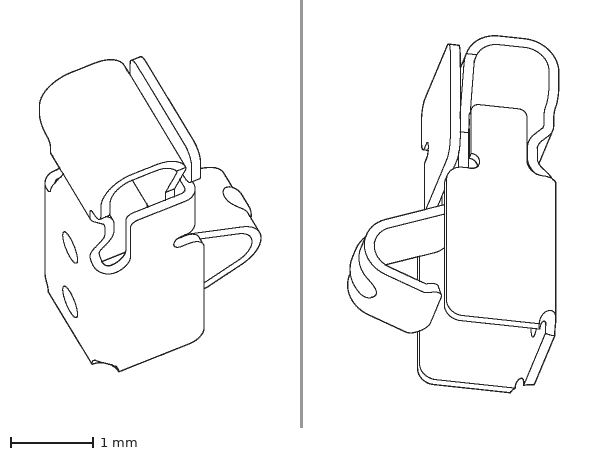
import cadquery as cq
import math

sheet = 0.125
width = 1.7
half_width = width / 2
bend_radius = 0.2
relief_radius = 0.105
channel_depth = 1.4
channel_height = 2.09
channel_corner = 0.2
hole_diameter = 0.41
hole_heights = (0.55, 1.675)
corner_relief_radius = 0.245

tab_front = 0.4
tab_back = 1.09
tab_top = 3.0
tab_corner = 0.1
tab_root_radius = 0.2

plate_back = 1.35
plate_bottom = channel_height + 2 * relief_radius
plate_top = 3.895
plate_corner = 0.2

jog_angle = 45
jog_start = 2.16
jog_outer_radius = 0.2
jog_inner_radius = 0.15
jog_slant = 0.145
jog_flat = 0.14
neck_half = half_width - bend_radius - relief_radius
head_bottom = 3.19
head_corner = 0.195
total_height = 4.0
loop_radius = 0.425
loop_depth = 1.17
taper_top = 3.7
taper_bottom = 2.8
spring_half = 0.495
arm_angle = 22
arm_bend_height = 1.97
arm_bend_radius = 0.225
upper_arm = 0.83
nose_radius = 0.42
lower_arm = 0.49
tail_bend_radius = 0.135
tail_rise = 18
tail = 0.19
tail_corner = 0.185

bead_half_width = 0.18
bead_angle = 41
bead_height = 0.05
bead_round = 0.08

margin = 0.04


def step(point, heading, distance):
    """Point reached from `point` by moving along `heading` (degrees)."""
    angle = math.radians(heading)
    return point[0] + distance * math.cos(angle), point[1] + distance * math.sin(angle)


def strip_section(start, heading, path):
    """Section in YZ of a bent strip whose left-hand face follows `path`.

    Each path item is (length, 0) for a straight or (radius, turn) for a bend,
    with a positive turn to the left. Returns the section and the centre of each bend.
    """
    left = start
    faces = [(left, step(left, heading - 90, sheet), None, None)]
    centres = []
    for size, turn in path:
        left_mid = right_mid = None
        if turn:
            side = math.copysign(90, turn)
            centre = step(left, heading + side, size)
            centres.append(centre)
            right_radius = size + math.copysign(sheet, turn)
            middle = heading + turn / 2 - side
            left_mid = step(centre, middle, size)
            right_mid = step(centre, middle, right_radius)
            heading += turn
            left = step(centre, heading - side, size)
        else:
            left = step(left, heading, size)
        faces.append((left, step(left, heading - 90, sheet), left_mid, right_mid))

    section = cq.Workplane("YZ").moveTo(*start)
    for left, _, left_mid, _ in faces[1:]:
        section = section.threePointArc(left_mid, left) if left_mid else section.lineTo(*left)
    section = section.lineTo(*faces[-1][1])
    for previous, current in zip(reversed(faces[:-1]), reversed(faces[1:])):
        right_mid = current[3]
        right = previous[1]
        section = section.threePointArc(right_mid, right) if right_mid else section.lineTo(*right)
    return section.close(), centres


def front_prism(outline, front, back):
    """Extrude a closed XZ outline from Y = front to Y = back."""
    return outline.extrude(front - back).translate((0, front, 0))


def mirrored(half):
    """Complete a body that covers X >= 0 by its mirror image."""
    return half.union(half.mirror("YZ"))


def make_channel():
    """U-shaped channel with a tab on each side wall, front holes and corner reliefs."""
    folded = (
        cq.Workplane("XY")
        .box(width, channel_depth, tab_top, centered=(True, False, False))
        .edges("|Z and <Y").fillet(bend_radius)
    )
    cavity = (
        cq.Workplane("XY")
        .box(width - 2 * sheet, channel_depth, tab_top, centered=(True, False, False))
        .edges("|Z and <Y").fillet(bend_radius - sheet)
        .translate((0, sheet, 0))
    )
    wall = (
        cq.Workplane("YZ")
        .rect(channel_depth, channel_height, centered=False)
        .extrude(half_width, both=True)
        .edges("|X and >Y").fillet(channel_corner)
    )
    tab = (
        cq.Workplane("YZ")
        .moveTo(tab_front, channel_height - margin)
        .lineTo(tab_back, channel_height - margin)
        .lineTo(tab_back, tab_top)
        .lineTo(tab_front, tab_top)
        .close()
        .extrude(half_width, both=True)
        .edges("|X and >Z").fillet(tab_corner)
    )
    root = cq.selectors.NearestToPointSelector((0, tab_front, channel_height))
    wall = wall.union(tab).edges("|X").edges(root).fillet(tab_root_radius)
    notch = (
        cq.Workplane("YZ")
        .center(tab_back, channel_height + relief_radius)
        .circle(relief_radius)
        .extrude(half_width, both=True)
    )
    channel = folded.cut(cavity).intersect(wall.cut(notch))

    holes = (
        cq.Workplane("XZ")
        .pushPoints([(0, height) for height in hole_heights])
        .circle(hole_diameter / 2)
        .extrude(-sheet)
    )
    corner_reliefs = (
        cq.Workplane("XY")
        .pushPoints([(-half_width, 0), (half_width, 0)])
        .sphere(corner_relief_radius)
    )
    return channel.cut(holes).cut(corner_reliefs)


def make_backing_plate():
    """Plate behind the strip, slit above the fold that joins it to the right-hand tab."""
    plate_front = plate_back - sheet
    fold_x = half_width - bend_radius
    fold_y = plate_back - bend_radius
    slit_bottom = tab_top
    fold_start = tab_back - tab_corner - margin
    slit_top = slit_bottom + 2 * relief_radius

    plate = (
        cq.Workplane("XZ")
        .rect(width, plate_top - plate_bottom)
        .extrude(-sheet)
        .translate((0, plate_front, (plate_top + plate_bottom) / 2))
    )
    below_slit = cq.Workplane("XY").box(
        bend_radius, 2 * sheet, slit_bottom - plate_bottom, centered=False
    ).translate((fold_x, plate_front - margin, plate_bottom))
    slit_end = fold_x - relief_radius
    slit = (
        cq.Workplane("XZ")
        .moveTo(half_width, slit_bottom)
        .lineTo(slit_end, slit_bottom)
        .threePointArc((slit_end - relief_radius, slit_bottom + relief_radius), (slit_end, slit_top))
        .lineTo(half_width, slit_top)
        .close()
    )
    plate = plate.cut(below_slit).cut(front_prism(slit, plate_front, plate_back))
    plate = plate.edges("|Y and <X").fillet(plate_corner)
    plate = plate.edges("|Y and >X").fillet(plate_corner)

    diagonal = math.sqrt(0.5)
    inner_radius = bend_radius - sheet
    fold = (
        cq.Workplane("XY", origin=(0, 0, plate_bottom))
        .moveTo(half_width, fold_start)
        .lineTo(half_width, fold_y)
        .threePointArc(
            (fold_x + bend_radius * diagonal, fold_y + bend_radius * diagonal),
            (fold_x, plate_back),
        )
        .lineTo(fold_x - margin, plate_back)
        .lineTo(fold_x - margin, plate_front)
        .lineTo(fold_x, plate_front)
        .threePointArc(
            (fold_x + inner_radius * diagonal, fold_y + inner_radius * diagonal),
            (half_width - sheet, fold_y),
        )
        .lineTo(half_width - sheet, fold_start)
        .close()
        .extrude(tab_top - plate_bottom)
    )
    return plate.union(fold)


def front_outline():
    """Right half of the strip outline ahead of the loop: base, neck and head."""
    diagonal = math.sqrt(0.5)
    base_half = neck_half + relief_radius
    base_top = channel_height
    arc_reach = relief_radius * (1 - diagonal)
    corner_x = half_width - head_corner
    corner_z = head_bottom + head_corner
    return (
        cq.Workplane("XZ")
        .moveTo(0, 0)
        .lineTo(base_half, 0)
        .lineTo(base_half, base_top)
        .threePointArc((neck_half + arc_reach, base_top + arc_reach), (neck_half, base_top + relief_radius))
        .lineTo(neck_half, head_bottom - relief_radius)
        .threePointArc((neck_half + arc_reach, head_bottom - arc_reach), (base_half, head_bottom))
        .lineTo(corner_x, head_bottom)
        .threePointArc(
            (corner_x + head_corner * diagonal, corner_z - head_corner * diagonal),
            (half_width, corner_z),
        )
        .lineTo(half_width, total_height)
        .lineTo(0, total_height)
        .close()
    )


def back_outline():
    """Right half of the strip outline behind the loop: head, taper and spring."""
    return (
        cq.Workplane("XZ")
        .moveTo(0, 0)
        .lineTo(spring_half, 0)
        .lineTo(spring_half, taper_bottom)
        .lineTo(half_width, taper_top)
        .lineTo(half_width, total_height)
        .lineTo(0, total_height)
        .close()
    )


def make_strip():
    """Bent strip: jog, loop over the top, then the sprung arms with nose and tail."""
    jog = (
        (jog_outer_radius, -jog_angle),
        (jog_slant, 0),
        (jog_inner_radius, jog_angle),
    )
    strip_start = channel_height - margin
    jog_rise = 2 * (jog_outer_radius + jog_inner_radius) * math.sin(math.radians(jog_angle))
    jog_rise += 2 * jog_slant * math.cos(math.radians(jog_angle)) + jog_flat
    loop_start = total_height - loop_radius
    path = [
        (jog_start - strip_start, 0),
        *jog,
        (jog_flat, 0),
        *reversed(jog),
        (loop_start - jog_start - jog_rise, 0),
        (loop_radius, -90),
        (loop_depth - 2 * loop_radius, 0),
        (loop_radius, -90),
        (loop_start - arm_bend_height, 0),
        (arm_bend_radius, 90 - arm_angle),
        (upper_arm, 0),
        (nose_radius, 2 * arm_angle - 180),
        (lower_arm, 0),
        (tail_bend_radius, -arm_angle - tail_rise),
        (tail, 0),
    ]
    section, centres = strip_section((0, strip_start), 90, path)
    nose_centre = centres[-2]
    split = loop_depth / 2
    nose_back = nose_centre[0] + nose_radius
    widths = front_prism(front_outline(), 0, split).union(front_prism(back_outline(), split, nose_back))
    strip = section.extrude(half_width, both=True).intersect(mirrored(widths))

    tail_tip_y = loop_depth + sheet
    tail_tip_z = nose_centre[1] - nose_radius
    for side in (-spring_half, spring_half):
        corner = cq.selectors.NearestToPointSelector((side, tail_tip_y, tail_tip_z))
        strip = strip.edges(corner).fillet(tail_corner)
    return strip.union(make_bead(nose_centre))


def bead_profile():
    """Right half of the bead's cross-section; local Y is the distance from the nose axis."""
    inner = nose_radius - sheet / 2
    outer = nose_radius + bead_height
    arc_reach = bead_round * (1 - math.sqrt(0.5))
    return (
        cq.Workplane("XY")
        .moveTo(0, inner)
        .lineTo(bead_half_width, inner)
        .lineTo(bead_half_width, outer - bead_round)
        .threePointArc(
            (bead_half_width - arc_reach, outer - arc_reach),
            (bead_half_width - bead_round, outer),
        )
        .lineTo(0, outer)
        .close()
    )


def make_bead(nose_centre):
    """Raised bead following the nose, with both ends rounded about a radial axis."""
    half_band = bead_profile().revolve(2 * bead_angle, (0, 0, 0), (1, 0, 0))
    half_band = half_band.rotate((0, 0, 0), (1, 0, 0), -bead_angle)
    bead = mirrored(half_band)
    lower_end = bead_profile().revolve(180, (0, 0, 0), (0, 1, 0)).rotate((0, 0, 0), (1, 0, 0), -bead_angle)
    bead = bead.union(lower_end).union(lower_end.mirror("XY"))
    return bead.translate((0, *nose_centre))


result = make_channel().union(make_backing_plate()).union(make_strip())